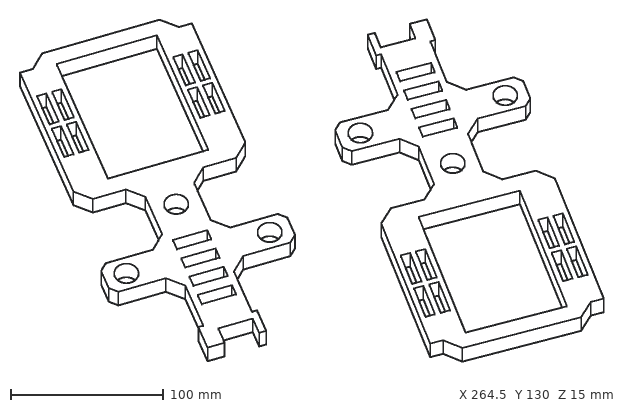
import cadquery as cq

thickness = 15.0
length = 264.5

frame_right = 124.0
frame_half_width = 60.0
frame_step = 10.0
step_chamfer = 10.0
left_edge_half_width = 41.0
corner_chamfer = 10.0
gusset = 10.0

window_left = 11.5
window_length = 100.0
window_half_width = 35.0

rail_wall = 4.0
rail_slot_left = 32.0
rail_slot_length = 24.5
rail_slot_columns = 2
rail_slot_rows = 2
rail_width = frame_half_width - window_half_width
rail_slot_width = (rail_width - (rail_slot_rows + 1) * rail_wall) / rail_slot_rows

neck_half_width = 17.0
arm_center = 189.0
arm_width = 25.0
arm_half_span = 65.0
arm_chamfer = 5.0

hole_diameter = 16.0
neck_hole_x = 146.5
arm_hole_offset = 50.0

neck_slot_left = 173.5
neck_slot_length = 8.0
neck_slot_width = 24.0
neck_slot_pitch = 16.0
neck_slot_count = 4

head_left = 246.5
head_half_width = 20.5
notch_depth = 12.5
notch_bottom = -8.5
notch_top = 15.5


def box(left, bottom, size_x, size_y):
    """Full-thickness block with its lower left corner at (left, bottom)."""
    return cq.Workplane("XY").box(size_x, size_y, thickness, centered=False).translate((left, bottom, 0))


def make_plate():
    """Symmetric outline of frame, neck, cross arms and head."""
    arm_left = arm_center - arm_width / 2
    arm_right = arm_center + arm_width / 2
    gusset_top = neck_half_width + gusset
    upper_edge = [
        (0, left_edge_half_width),
        (frame_step, left_edge_half_width + step_chamfer),
        (frame_step, frame_half_width),
        (frame_right - corner_chamfer, frame_half_width),
        (frame_right, frame_half_width - corner_chamfer),
        (frame_right, gusset_top),
        (frame_right + gusset, neck_half_width),
        (arm_left - gusset, neck_half_width),
        (arm_left, gusset_top),
        (arm_left, arm_half_span - arm_chamfer),
        (arm_left + arm_chamfer, arm_half_span),
        (arm_right - arm_chamfer, arm_half_span),
        (arm_right, arm_half_span - arm_chamfer),
        (arm_right, gusset_top),
        (arm_right + gusset, neck_half_width),
        (head_left, neck_half_width),
        (head_left, head_half_width),
        (length, head_half_width),
    ]
    lower_edge = [(x, -y) for x, y in reversed(upper_edge)]
    return cq.Workplane("XY").polyline(upper_edge + lower_edge).close().extrude(thickness)


def cut_window(plate):
    return plate.cut(box(window_left, -window_half_width, window_length, 2 * window_half_width))


def cut_rail_slots(plate):
    """Two rows of two slots in each side rail."""
    for row in range(rail_slot_rows):
        bottom = window_half_width + rail_wall + row * (rail_slot_width + rail_wall)
        for column in range(rail_slot_columns):
            left = rail_slot_left + column * (rail_slot_length + rail_wall)
            slot = box(left, bottom, rail_slot_length, rail_slot_width)
            plate = plate.cut(slot).cut(slot.mirror("XZ"))
    return plate


def cut_neck_slots(plate):
    for index in range(neck_slot_count):
        left = neck_slot_left + index * neck_slot_pitch
        plate = plate.cut(box(left, -neck_slot_width / 2, neck_slot_length, neck_slot_width))
    return plate


def cut_round_holes(plate):
    """One hole in the neck and one in each cross arm."""
    centers = [(neck_hole_x, 0), (arm_center, arm_hole_offset), (arm_center, -arm_hole_offset)]
    holes = cq.Workplane("XY").pushPoints(centers).circle(hole_diameter / 2).extrude(thickness)
    return plate.cut(holes)


def cut_head_notch(plate):
    return plate.cut(box(length - notch_depth, notch_bottom, notch_depth, notch_top - notch_bottom))


result = make_plate()
result = cut_window(result)
result = cut_rail_slots(result)
result = cut_neck_slots(result)
result = cut_round_holes(result)
result = cut_head_notch(result)